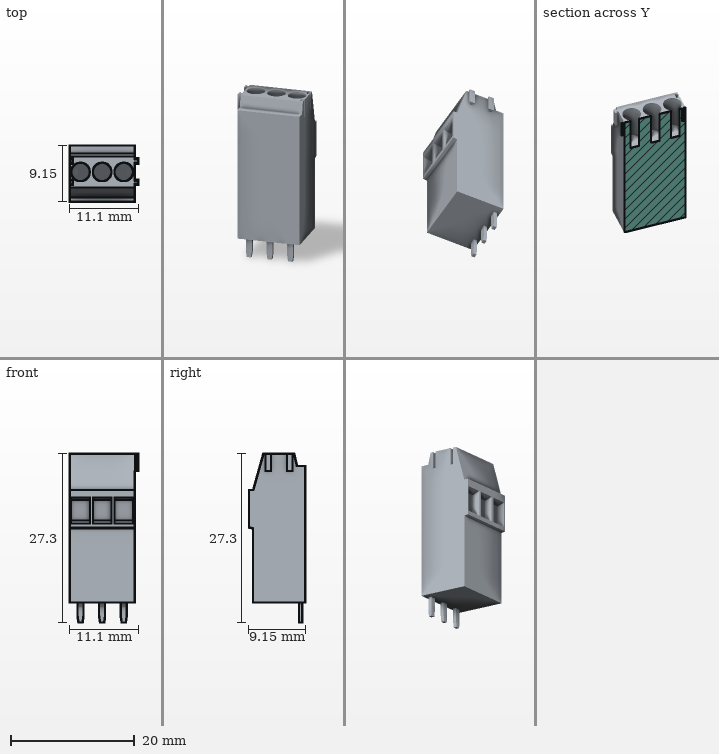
import cadquery as cq


total_height = 27.3
housing_width = 10.55
total_depth = 9.15
pin_length = 3.2

pole_count = 3
pole_pitch = 3.5
first_pole_x = 1.75
pole_positions = [first_pole_x + i * pole_pitch for i in range(pole_count)]

top_front_y = 2.35
ledge_y = 0.7
lower_front_y = 0.68
back_step_depth = 1.35
back_slope_depth = 0.46
back_step_drop = 2.0
ledge_drop = 5.87
nose_bottom_drop = 11.95
nose_chin_drop = 12.1

well_diameter = 3.0
well_y = 4.83
well_depth = ledge_drop

pocket_width = 3.0
pocket_top_drop = 7.1
pocket_height = 4.18
pocket_taper = 0.45
pocket_depth = 1.3

joint_positions = [3.17, 6.6]
joint_height = 2.8
joint_reach = 0.57
joint_neck_length = 0.3
joint_neck_width = 0.52
joint_head_width = 0.93

pin_width = 1.0
pin_tip_width = 0.7
pin_thickness = 0.57
pin_back_offset = 0.5
pin_taper_length = 1.05


def side_prism(points, x_start, length):
    """Extrude a (Y, Z) outline along +X."""
    return cq.Workplane("YZ").workplane(offset=x_start).polyline(points).close().extrude(length)


def make_shell():
    back_step_y = total_depth - back_step_depth
    outline = [
        (lower_front_y, pin_length),
        (total_depth, pin_length),
        (total_depth, total_height - back_step_drop),
        (back_step_y, total_height - back_step_drop),
        (back_step_y - back_slope_depth, total_height),
        (top_front_y, total_height),
        (ledge_y, total_height - ledge_drop),
        (0, total_height - ledge_drop),
        (0, total_height - nose_bottom_drop),
        (lower_front_y, total_height - nose_chin_drop),
    ]
    return side_prism(outline, 0, housing_width)


def make_screw_well(x):
    top = cq.Workplane("XY").workplane(offset=total_height)
    return top.center(x, well_y).circle(well_diameter / 2).extrude(-well_depth)


def make_wire_pocket(x):
    top_z = total_height - pocket_top_drop
    bottom_z = top_z - pocket_height
    outline = [
        (0, bottom_z),
        (pocket_depth, bottom_z + pocket_taper),
        (pocket_depth, top_z - pocket_taper),
        (0, top_z),
    ]
    return side_prism(outline, x - pocket_width / 2, pocket_width)


def make_joint(x, y):
    """T-shaped upright bar, with its neck starting at x and its head toward +X."""
    half_neck = joint_neck_width / 2
    half_head = joint_head_width / 2
    outline = [
        (x, y - half_neck),
        (x + joint_neck_length, y - half_neck),
        (x + joint_neck_length, y - half_head),
        (x + joint_reach, y - half_head),
        (x + joint_reach, y + half_head),
        (x + joint_neck_length, y + half_head),
        (x + joint_neck_length, y + half_neck),
        (x, y + half_neck),
    ]
    base = cq.Workplane("XY").workplane(offset=total_height - joint_height)
    return base.polyline(outline).close().extrude(joint_height)


def make_housing():
    body = make_shell()
    for x in pole_positions:
        body = body.cut(make_screw_well(x))
        body = body.cut(make_wire_pocket(x))
    for y in joint_positions:
        body = body.cut(make_joint(0, y))
        body = body.union(make_joint(housing_width, y))
    return body


def make_pin(x):
    """Flat pin under the housing, with its width tapering at the tip."""
    half_width = pin_width / 2
    half_tip = pin_tip_width / 2
    outline = [
        (x - half_tip, 0),
        (x + half_tip, 0),
        (x + half_width, pin_taper_length),
        (x + half_width, pin_length),
        (x - half_width, pin_length),
        (x - half_width, pin_taper_length),
    ]
    pin_back_y = total_depth - pin_back_offset
    back_plane = cq.Workplane("XZ", origin=(0, pin_back_y, 0))
    return back_plane.polyline(outline).close().extrude(pin_thickness)


housing = make_housing()
pins = [make_pin(x) for x in pole_positions]

result = cq.Compound.makeCompound([housing.val(), *[pin.val() for pin in pins]])